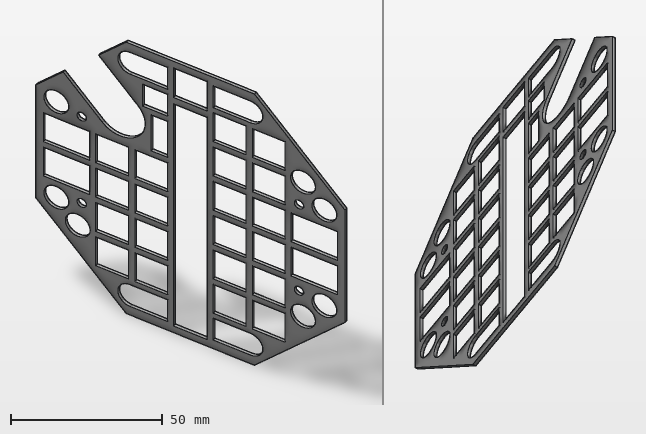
import cadquery as cq
import math

plate_size = 119.6
plate_thickness = 1.2
half_size = plate_size / 2
half_side = half_size * math.tan(math.pi / 8)

rim = 3.0
rib = 2.5
grid_height = 88.3
row_count = 6
cell = (grid_height - (row_count - 1) * rib) / row_count
pitch = cell + rib
grid_top = grid_height / 2
window_limit = half_size - rim
wide_window_width = 17.9
wide_window_rows = (2, 3)
notch_rows = (0, 1)

centre_window_width = 12.9
centre_rib = 2.9

end_slot_width = 9.6
end_slot_tip_x = 28.0
end_slot_z = 51.2

large_hole_diameter = 9.6
outer_hole_x = 51.8
outer_hole_z = 21.0
inner_hole_x = 43.5
inner_hole_z = 29.5
mount_hole_diameter = 3.6
mount_hole_x = 42.0
mount_hole_z = 19.0

notch_width = 19.4
notch_centre = 27.1

notch_window_size = 9.6
notch_window_gap = 2.4
narrow_window_width = cell / 2


def upright(shape):
    """Centre an extrusion from the XZ workplane on Y = 0."""
    return shape.translate((0, plate_thickness / 2, 0))


def window(x_min, x_max, z_min, z_max):
    """Rectangular through window between the given limits."""
    sketch = cq.Workplane("XZ").center((x_min + x_max) / 2, (z_min + z_max) / 2)
    return upright(sketch.rect(x_max - x_min, z_max - z_min).extrude(plate_thickness))


def round_holes(points, diameter):
    """Through holes of one diameter at the given (x, z) points."""
    return upright(cq.Workplane("XZ").pushPoints(points).circle(diameter / 2).extrude(plate_thickness))


def four_corners(x, z):
    """The point (x, z) mirrored into all four quadrants."""
    return [(side * x, level * z) for side in (-1, 1) for level in (-1, 1)]


def octagon_plate():
    """Solid regular octagon with flat top, bottom and sides."""
    outline = [
        (half_side, half_size),
        (half_size, half_side),
        (half_size, -half_side),
        (half_side, -half_size),
        (-half_side, -half_size),
        (-half_size, -half_side),
        (-half_size, half_side),
        (-half_side, half_size),
    ]
    return upright(cq.Workplane("XZ").polyline(outline).close().extrude(plate_thickness))


def grid_windows():
    """Square windows in two columns per side, plus wide windows at mid height."""
    cuts = []
    for row in range(row_count):
        z_max = grid_top - row * pitch
        z_min = z_max - cell
        for side in (-1, 1):
            if side < 0 and row in notch_rows:
                continue
            for column in (1, 2):
                x_centre = side * column * pitch
                cuts.append(window(x_centre - cell / 2, x_centre + cell / 2, z_min, z_max))
            if row in wide_window_rows:
                x_limits = sorted((side * (window_limit - wide_window_width), side * window_limit))
                cuts.append(window(*x_limits, z_min, z_max))
    return cuts


def centre_windows():
    """Square window at the top and long slot below it, parted by one rib."""
    half_width = centre_window_width / 2
    square_bottom = window_limit - centre_window_width
    return [
        window(-half_width, half_width, square_bottom, window_limit),
        window(-half_width, half_width, -window_limit, square_bottom - centre_rib),
    ]


def notch_windows():
    """Smaller square and narrow windows squeezed between notch and centre column."""
    x_max = -pitch + cell / 2
    square_bottom = grid_top - notch_window_size
    narrow_bottom = rib / 2 + pitch
    return [
        window(x_max - notch_window_size, x_max, square_bottom, grid_top),
        window(x_max - narrow_window_width, x_max, narrow_bottom, square_bottom - notch_window_gap),
    ]


def end_slots():
    """Slots with a square inner end and a round outer end."""
    radius = end_slot_width / 2
    inner_x = pitch - cell / 2
    arc_x = end_slot_tip_x - radius
    cuts = []
    for side in (-1, 1):
        for level in (-1, 1):
            z_centre = level * end_slot_z
            x_limits = sorted((side * inner_x, side * arc_x))
            cuts.append(window(*x_limits, z_centre - radius, z_centre + radius))
            cuts.append(round_holes([(side * arc_x, z_centre)], end_slot_width))
    return cuts


def edge_holes():
    """Large holes in pairs, without the inner upper left one that the notch replaces."""
    inner_points = four_corners(inner_hole_x, inner_hole_z)
    inner_points.remove((-inner_hole_x, inner_hole_z))
    return [
        round_holes(four_corners(outer_hole_x, outer_hole_z) + inner_points, large_hole_diameter),
        round_holes(four_corners(mount_hole_x, mount_hole_z), mount_hole_diameter),
    ]


def notch():
    """Round-bottomed channel running out of the plate at 45 degrees."""
    channel = (
        cq.Workplane("XZ")
        .center(-half_size / 2, 0)
        .rect(half_size, notch_width)
        .extrude(plate_thickness)
        .union(cq.Workplane("XZ").circle(notch_width / 2).extrude(plate_thickness))
        .rotate((0, 0, 0), (0, 1, 0), 45)
        .translate((-notch_centre, 0, notch_centre))
    )
    return upright(channel)


cuts = grid_windows() + centre_windows() + notch_windows() + end_slots() + edge_holes() + [notch()]

result = octagon_plate()
for cut in cuts:
    result = result.cut(cut)